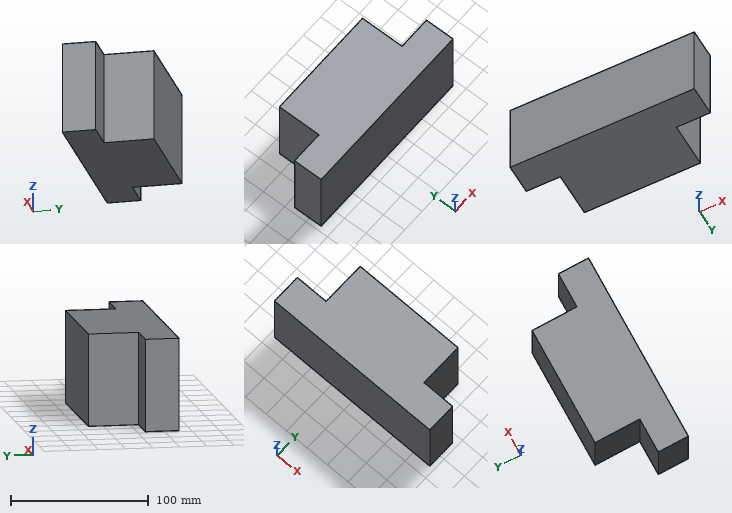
import cadquery as cq

flange_length = 152.0
flange_depth = 25.0
block_length = 95.8
total_depth = 62.0
height = 68.4

block_depth = total_depth - flange_depth


def box_from_front(length, depth, front_y):
    """Box centred on X, standing on Z = 0, with its front face at front_y."""
    return (
        cq.Workplane("XY")
        .box(length, depth, height, centered=(True, False, False))
        .translate((0, front_y, 0))
    )


flange = box_from_front(flange_length, flange_depth, 0)
block = box_from_front(block_length, block_depth, flange_depth)

result = flange.union(block)